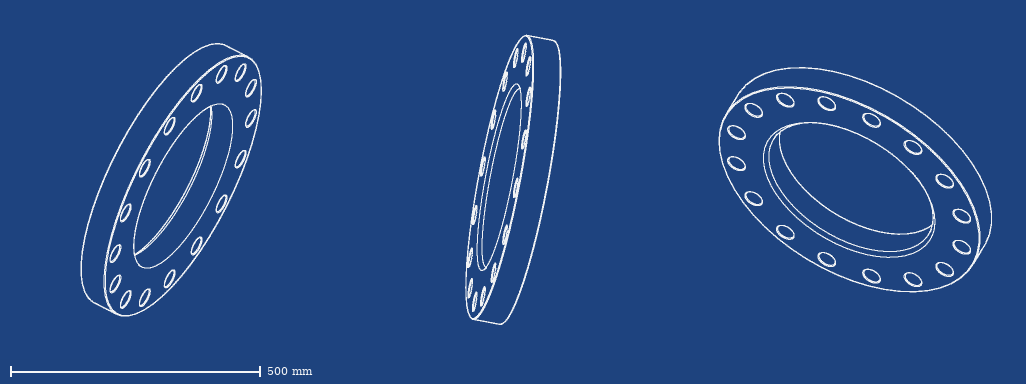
import cadquery as cq

outer_diameter = 580.0
thickness = 58.0
bore_diameter = 365.0
rim_chamfer = 2.0

bore_bevel = 8.0

hole_count = 16
hole_diameter = 36.0
bolt_circle_diameter = 510.0
hole_chamfer = 2.0


def make_ring():
    """Disc centred on the origin with both rim edges chamfered."""
    start = cq.Workplane("YZ", origin=(-thickness / 2, 0, 0))
    disc = start.circle(outer_diameter / 2).extrude(thickness)
    return disc.faces("<X or >X").edges().chamfer(rim_chamfer)


def cut_bore(body):
    """Cut the through bore and bevel its -X edge."""
    bored = body.faces(">X").workplane(centerOption="CenterOfBoundBox").hole(bore_diameter)
    bore_edge = cq.selectors.RadiusNthSelector(0)
    return bored.faces("<X").edges(bore_edge).chamfer(bore_bevel)


def make_hole_cutter():
    """Bolt hole along X on the Y axis, flared at both ends by its edge chamfers."""
    half_thickness = thickness / 2
    radius = hole_diameter / 2
    flared_radius = radius + hole_chamfer
    profile = [
        (-half_thickness, 0),
        (-half_thickness, flared_radius),
        (-half_thickness + hole_chamfer, radius),
        (half_thickness - hole_chamfer, radius),
        (half_thickness, flared_radius),
        (half_thickness, 0),
    ]
    cutter = cq.Workplane("XY").polyline(profile).close().revolve(360, (0, 0, 0), (1, 0, 0))
    return cutter.translate((0, bolt_circle_diameter / 2, 0))


def cut_bolt_holes(body):
    """Cut the evenly spaced bolt holes, starting half a pitch off the Y axis."""
    pitch_angle = 360 / hole_count
    cutter = make_hole_cutter()
    for index in range(hole_count):
        angle = (index + 0.5) * pitch_angle
        body = body.cut(cutter.rotate((0, 0, 0), (1, 0, 0), angle))
    return body


result = cut_bolt_holes(cut_bore(make_ring()))